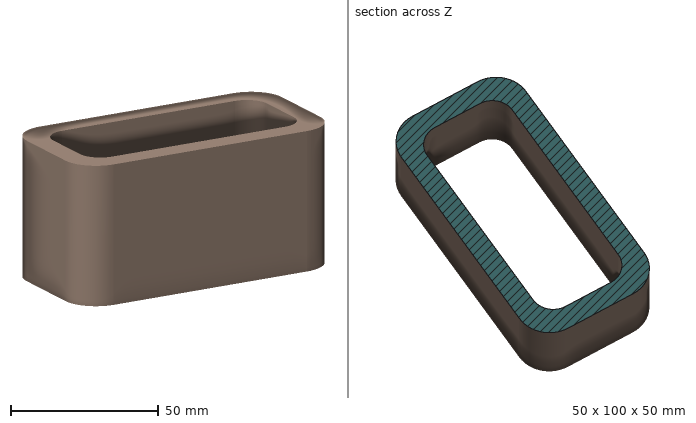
import cadquery as cq

width = 50.0
length = 100.0
height = 50.0

wall = 8.0
outer_corner_radius = 12.0
inner_corner_radius = 8.0


def rounded_block(size_x, size_y, corner_radius):
    """Upright block standing on Z = 0, with its vertical edges rounded."""
    block = cq.Workplane("XY").rect(size_x, size_y).extrude(height)
    return block.edges("|Z").fillet(corner_radius)


body = rounded_block(width, length, outer_corner_radius)

opening = rounded_block(width - 2 * wall, length - 2 * wall, inner_corner_radius)

result = body.cut(opening)